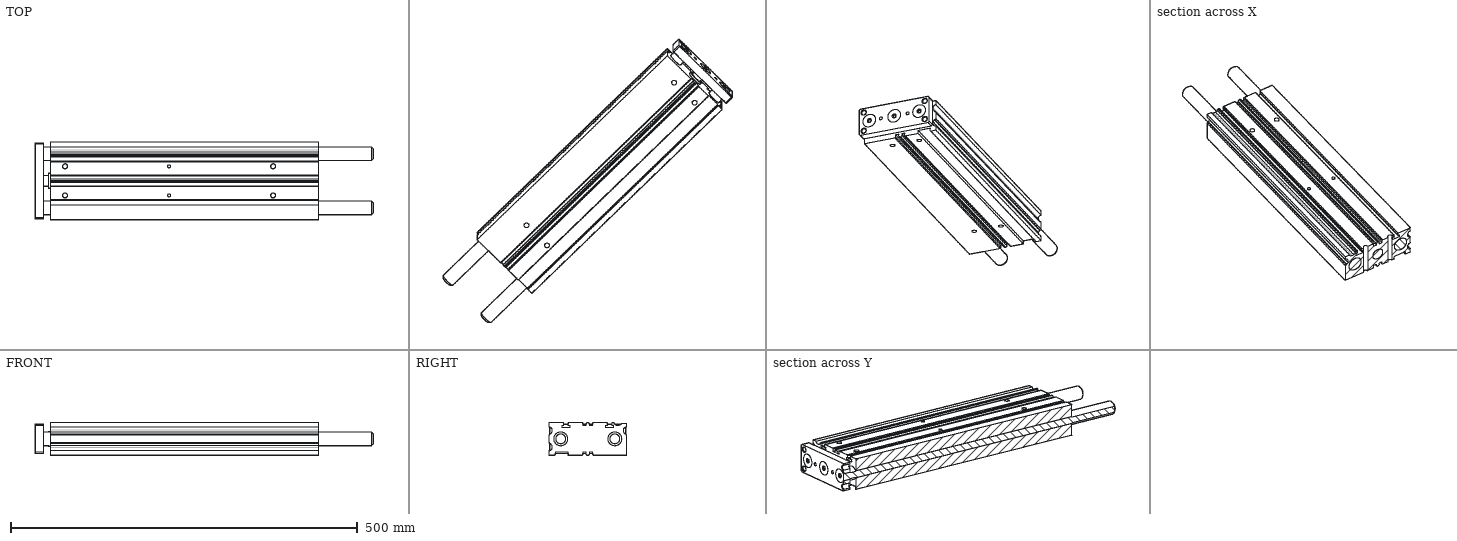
import cadquery as cq

total_length = 488.0
countersink_angle = 90

plate_thickness = 12.0
plate_width = 110.0
plate_height = 42.5
plate_edge_chamfer = 2.0
corner_hole_diameter = 7.0
corner_hole_mouth_diameter = 8.5
corner_hole_y = 48.0
corner_hole_z = 14.5
plate_pin_hole_diameter = 4.5

housing_start = 22.0
housing_length = 387.0
housing_width = 112.0
housing_height = 48.0
half_width = housing_width / 2
half_height = housing_height / 2

hole_row_y = 21.0
mounting_hole_diameter = 7.0
mounting_hole_spacing = 300.0
mounting_middle_x = 193.2
locating_hole_diameter = 4.5
locating_hole_depth = 5.0

channel_depth = 5.0
slot_depth = 8.0
slot_undercut = 2.5
channel_edge_chamfer = 1.2
post_chamfer = 1.0
middle_channel_end = 7.1
outer_channel_start = 28.5
outer_channel_end = 34.5
bottom_recess_end = 47.0
ridge_base = 2.7
ridge_top = 0.75

groove_lip = 1.5
groove_wall_depth = 2.5
groove_slope = 3.0
groove_floor = 3.0
groove_width = 11.5
groove_depth = 4.5
groove_hollow_sag = 1.0
side_groove_z = 5.5
top_groove_y = 37.0
top_ledge_drop = 1.5

guide_rod_diameter = 20.0
guide_rod_y = 39.0
guide_rod_chamfer = 3.0
piston_rod_diameter = 16.0
piston_end_diameter = 20.0
housing_end_wall = 19.5
piston_rod_end = housing_start + housing_length - housing_end_wall
collar_diameter = 22.0
collar_thickness = 3.0
centre_hole_diameter = 4.0
centre_hole_mouth_diameter = 6.5
centre_hole_depth = 7.5


def rod_along_x(diameter, start, end, y=0.0):
    """Round bar along X at the given Y."""
    return cq.Workplane("YZ", origin=(start, y, 0)).circle(diameter / 2).extrude(end - start)


def housing_prism(outline):
    """Close a YZ outline and extrude it over the length of the housing."""
    return outline.close().extrude(housing_length)


def housing_plane():
    """YZ workplane on the plate-side end of the housing."""
    return cq.Workplane("YZ", origin=(housing_start, 0, 0))


def channel(y_near, y_far, face, near_chamfer, far_chamfer):
    """Straight channel between two Y values; face is +1 for the top and -1 for the bottom."""
    out = 1 if y_far > y_near else -1
    surface = face * half_height
    points = [(y_near, surface - face * channel_depth), (y_far, surface - face * channel_depth)]
    if far_chamfer:
        points.append((y_far, surface - face * far_chamfer))
    points.append((y_far + out * far_chamfer, surface))
    points.append((y_near - out * near_chamfer, surface))
    if near_chamfer:
        points.append((y_near, surface - face * near_chamfer))
    return housing_prism(housing_plane().polyline(points))


def slot_undercut_bar(side):
    """Wide lower part of the T-slot beneath the outer top channel on one side."""
    width = outer_channel_end - outer_channel_start + 2 * slot_undercut
    height = slot_depth - channel_depth
    centre_y = side * (outer_channel_start + outer_channel_end) / 2
    centre_z = half_height - (channel_depth + slot_depth) / 2
    return housing_plane().center(centre_y, centre_z).rect(width, height).extrude(housing_length)


def sensor_groove(place):
    """Sensor groove; place(along, depth) maps a point of its section to Y and Z."""
    floor_start = groove_lip + groove_slope
    floor_end = floor_start + groove_floor
    middle = (floor_end + groove_width) / 2
    outline = (
        housing_plane()
        .moveTo(*place(0, 0))
        .lineTo(*place(groove_lip, groove_lip))
        .lineTo(*place(groove_lip, groove_wall_depth))
        .lineTo(*place(floor_start, groove_depth))
        .lineTo(*place(floor_end, groove_depth))
        .threePointArc(
            place(middle + groove_hollow_sag, groove_depth / 2 + groove_hollow_sag),
            place(groove_width, 0),
        )
    )
    return housing_prism(outline)


def make_housing():
    body = housing_plane().rect(housing_width, housing_height).extrude(housing_length)

    for face in (1, -1):
        for side in (1, -1):
            ridge_chamfer = ridge_base - ridge_top
            foot = side * ridge_base
            wall = side * middle_channel_end
            body = body.cut(channel(foot, wall, face, ridge_chamfer, channel_edge_chamfer))

    for side in (1, -1):
        far_chamfer = post_chamfer if side > 0 else 0
        start = side * outer_channel_start
        end = side * outer_channel_end
        body = body.cut(channel(start, end, 1, channel_edge_chamfer, far_chamfer))
        body = body.cut(slot_undercut_bar(side))
    body = body.cut(channel(-outer_channel_start, -bottom_recess_end, -1, 0, channel_edge_chamfer))

    body = body.cut(sensor_groove(lambda s, d: (top_groove_y + s, half_height - d)))
    body = body.cut(sensor_groove(lambda s, d: (d - half_width, side_groove_z + s)))
    body = body.cut(sensor_groove(lambda s, d: (d - half_width, -side_groove_z - s)))
    body = body.cut(sensor_groove(lambda s, d: (half_width - d, side_groove_z + s)))

    ledge_y = top_groove_y + groove_width / 2
    ledge = cq.Workplane("XY").box(
        housing_length, half_width - ledge_y, top_ledge_drop, centered=False
    )
    body = body.cut(ledge.translate((housing_start, ledge_y, half_height - top_ledge_drop)))

    top_plane = cq.Workplane("XY", origin=(0, 0, half_height))
    reach = mounting_hole_spacing / 2
    mounting_points = [
        (mounting_middle_x + end * reach, side * hole_row_y) for end in (1, -1) for side in (1, -1)
    ]
    locating_points = [(mounting_middle_x, side * hole_row_y) for side in (1, -1)]
    body = body.cut(
        top_plane.pushPoints(mounting_points).circle(mounting_hole_diameter / 2).extrude(-housing_height)
    )
    body = body.cut(
        top_plane.pushPoints(locating_points).circle(locating_hole_diameter / 2).extrude(-locating_hole_depth)
    )

    housing_end = housing_start + housing_length
    for side in (1, -1):
        body = body.cut(rod_along_x(guide_rod_diameter, housing_start, housing_end, side * guide_rod_y))
    return body.cut(rod_along_x(piston_rod_diameter, housing_start, piston_rod_end))


def make_end_plate():
    plate = (
        cq.Workplane("YZ")
        .rect(plate_width, plate_height)
        .extrude(plate_thickness)
        .edges("|X")
        .chamfer(plate_edge_chamfer)
    )
    front = plate.faces("<X").workplane(centerOption="CenterOfBoundBox")
    corners = front.rect(2 * corner_hole_y, 2 * corner_hole_z, forConstruction=True).vertices()
    plate = corners.cskHole(corner_hole_diameter, corner_hole_mouth_diameter, countersink_angle)
    for side in (1, -1):
        plate = plate.cut(rod_along_x(plate_pin_hole_diameter, 0, plate_thickness, side * hole_row_y))
        plate = plate.cut(rod_along_x(guide_rod_diameter, 0, plate_thickness, side * guide_rod_y))
    return plate.cut(rod_along_x(piston_end_diameter, 0, plate_thickness))


def with_centre_hole(rod):
    """Drill and countersink the plate end of a rod."""
    end = rod.faces("<X").workplane(centerOption="CenterOfMass")
    return end.cskHole(
        centre_hole_diameter, centre_hole_mouth_diameter, countersink_angle, depth=centre_hole_depth
    )


def make_guide_rod(y):
    """Guide rod running from the plate front right through the housing."""
    rod = rod_along_x(guide_rod_diameter, 0, total_length, y)
    return with_centre_hole(rod.faces(">X").chamfer(guide_rod_chamfer))


def make_piston_rod():
    """Piston rod with a wider end set flush in the plate."""
    rod = rod_along_x(piston_end_diameter, 0, plate_thickness)
    rod = rod.union(rod_along_x(piston_rod_diameter, plate_thickness, piston_rod_end))
    return with_centre_hole(rod)


def make_collar():
    """Ring round the piston rod against the housing face."""
    start = housing_start - collar_thickness
    ring = rod_along_x(collar_diameter, start, housing_start)
    return ring.cut(rod_along_x(piston_rod_diameter, start, housing_start))


housing = make_housing()
end_plate = make_end_plate()
guide_rods = [make_guide_rod(side * guide_rod_y) for side in (1, -1)]
piston_rod = make_piston_rod()
collar = make_collar()

result = cq.Compound.makeCompound(
    [housing.val(), end_plate.val(), *[rod.val() for rod in guide_rods], piston_rod.val(), collar.val()]
)